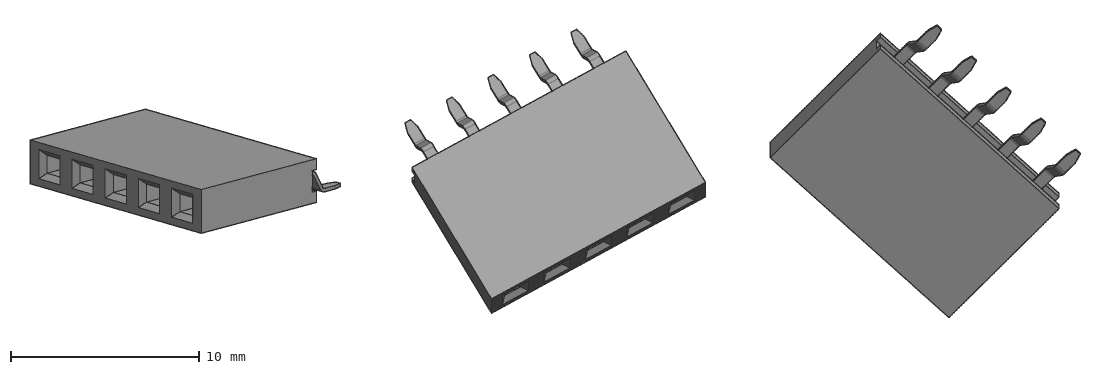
import cadquery as cq
import math

pin_count = 5
pitch = 2.54
body_length = 13.11
body_depth = 8.5
body_height = 2.43

groove_depth = 0.3
groove_height = 1.19
groove_roof = 0.6
contact_z = body_height - groove_roof - groove_height / 2

mouth_size = 1.61
socket_size = 1.0
taper_depth = (mouth_size - socket_size) / 2
socket_depth = 5.9

pin_width = 0.64
pin_thickness = 0.2
pin_reach = 3.0
foot_length = 1.28
bend_angle = math.radians(60)
bend_radius = 0.26
tip_length = 0.55
tip_width = 0.34

pin_positions = [(i - (pin_count - 1) / 2) * pitch for i in range(pin_count)]


def make_housing():
    """Block with a groove along its rear face."""
    block = cq.Workplane("XY").box(body_length, body_depth, body_height, centered=(True, False, False))
    groove = (
        cq.Workplane("XY")
        .box(body_length, groove_depth, groove_height, centered=(True, False, True))
        .translate((0, body_depth - groove_depth, contact_z))
    )
    return block.cut(groove)


def make_socket(x):
    """Square blind hole with a tapered mouth, going in along +Y."""
    mouth_plane = cq.Plane(origin=(x, 0, contact_z), xDir=(1, 0, 0), normal=(0, -1, 0))
    mouth = (
        cq.Workplane(mouth_plane)
        .rect(mouth_size, mouth_size)
        .workplane(offset=-taper_depth)
        .rect(socket_size, socket_size)
        .loft(ruled=True)
    )
    hole = cq.Workplane(mouth_plane).rect(socket_size, socket_size).extrude(-socket_depth)
    return mouth.union(hole)


def make_pin(x):
    """Flat pin that leaves the groove, slopes down and ends in a pointed foot."""
    root_y = body_depth - groove_depth
    tip_y = body_depth + pin_reach
    heel_y = tip_y - foot_length
    foot_z = pin_thickness / 2
    bend_run = bend_radius * math.sin(bend_angle)
    bend_drop = bend_radius * (1 - math.cos(bend_angle))
    slope_drop = contact_z - foot_z - 2 * bend_drop
    slope_run = slope_drop / math.tan(bend_angle)
    shoulder_y = heel_y - slope_run - 2 * bend_run
    centreline = (
        cq.Workplane("YZ")
        .moveTo(root_y, contact_z)
        .lineTo(shoulder_y, contact_z)
        .tangentArcPoint((bend_run, -bend_drop))
        .line(slope_run, -slope_drop)
        .tangentArcPoint((bend_run, -bend_drop))
        .lineTo(tip_y, foot_z)
    )
    strip = (
        cq.Workplane("XZ", origin=(0, root_y, contact_z))
        .rect(pin_width, pin_thickness)
        .sweep(centreline)
    )
    outline = (
        cq.Workplane("XY")
        .polyline([
            (-pin_width / 2, root_y),
            (pin_width / 2, root_y),
            (pin_width / 2, tip_y - tip_length),
            (tip_width / 2, tip_y),
            (-tip_width / 2, tip_y),
            (-pin_width / 2, tip_y - tip_length),
        ])
        .close()
        .extrude(body_height)
    )
    return strip.intersect(outline).translate((x, 0, 0))


result = make_housing()
for pin_x in pin_positions:
    result = result.cut(make_socket(pin_x)).union(make_pin(pin_x))